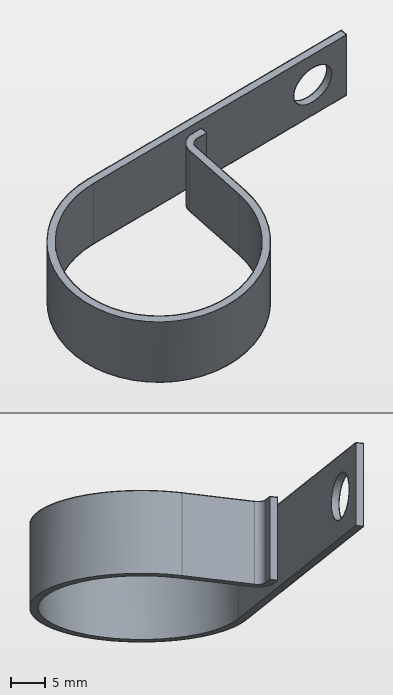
import cadquery as cq
import math

strip_width = 12.7
thickness = 1.2142

inner_radius = 15.08125
outer_radius = inner_radius + thickness

leg_length = 47.625
hole_diameter = 7.14375
hole_end_distance = 6.35

lip_gap = 1.27
lip_height = 3.0
bend_inner_radius = thickness
bend_outer_radius = bend_inner_radius + thickness


def arc_point(center_x, center_y, radius, angle_degrees):
    """Point on a circle, with the angle measured from +X towards +Y."""
    angle = math.radians(angle_degrees)
    return (center_x + radius * math.cos(angle), center_y + radius * math.sin(angle))


def make_strip():
    """Bent strip: leg, three-quarter hoop, straight run and upturned lip."""
    lip_outer_x = -inner_radius + lip_gap
    lip_inner_x = lip_outer_x + thickness
    lip_top_y = outer_radius + lip_height
    bend_x = lip_outer_x + bend_outer_radius
    bend_y = inner_radius + bend_outer_radius
    hoop_middle = -45
    bend_middle = 225

    profile = (
        cq.Workplane("XY")
        .moveTo(-outer_radius, leg_length)
        .lineTo(-outer_radius, 0)
        .threePointArc(arc_point(0, 0, outer_radius, hoop_middle), (0, outer_radius))
        .lineTo(bend_x, outer_radius)
        .threePointArc(
            arc_point(bend_x, bend_y, bend_inner_radius, bend_middle),
            (lip_inner_x, bend_y),
        )
        .lineTo(lip_inner_x, lip_top_y)
        .lineTo(lip_outer_x, lip_top_y)
        .lineTo(lip_outer_x, bend_y)
        .threePointArc(
            arc_point(bend_x, bend_y, bend_outer_radius, bend_middle),
            (bend_x, inner_radius),
        )
        .lineTo(0, inner_radius)
        .threePointArc(arc_point(0, 0, inner_radius, hoop_middle), (-inner_radius, 0))
        .lineTo(-inner_radius, leg_length)
        .close()
    )
    return profile.extrude(strip_width / 2, both=True)


def make_hole_cutter():
    """Cylinder through the leg only, near its free end."""
    return (
        cq.Workplane("YZ", origin=(-outer_radius, 0, 0))
        .center(leg_length - hole_end_distance, 0)
        .circle(hole_diameter / 2)
        .extrude(thickness)
    )


result = make_strip().cut(make_hole_cutter())